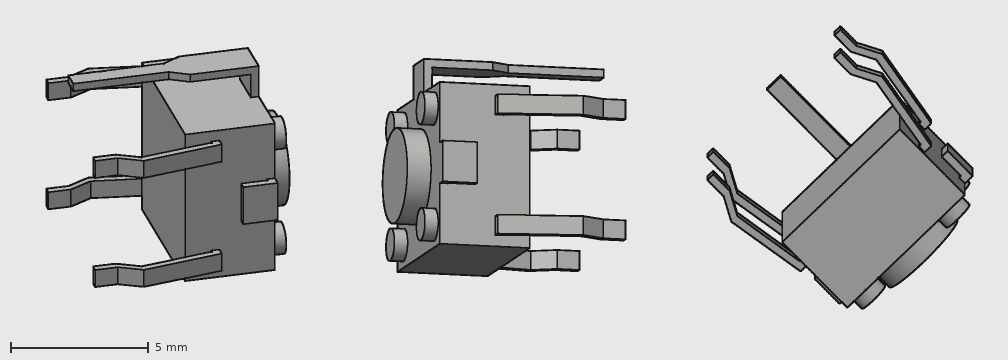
import cadquery as cq

overall_width = 7.7
body_side = 6.0
body_depth = 3.4
button_diameter = 3.5
button_height = 0.9
peg_diameter = 1.2
peg_height = 0.5
peg_offset = 2.15

strip_thickness = 0.305
lead_reach = 6.9
lead_width = 0.7
tab_width = 1.51
tab_length = 1.3
tab_outer_x = 3.39

lead_offset_z = 2.23
lead_root = 2.1
lead_shoulder_x = 3.33
lead_knee = 5.19
lead_foot = 6.05

ground_rise = 1.25
ground_taper_start = 2.6
ground_taper_end = 3.29

half_side = body_side / 2
lead_knee_x = overall_width / 2
tab_inner_x = tab_outer_x - strip_thickness
ground_top = half_side + ground_rise


def make_button():
    """Round push button standing on the housing face."""
    return cq.Workplane("XZ").circle(button_diameter / 2).extrude(-button_height)


def make_block():
    """Square housing block behind the face plane."""
    return cq.Workplane("XZ").rect(body_side, body_side).extrude(body_depth)


def make_pegs():
    """Four round pegs at the corners of the housing face."""
    spacing = 2 * peg_offset
    return (
        cq.Workplane("XZ")
        .rect(spacing, spacing, forConstruction=True)
        .vertices()
        .circle(peg_diameter / 2)
        .extrude(-peg_height)
    )


def make_side_tab():
    """L-shaped tab on the +X side, folded back from the face plane."""
    outline = [
        (half_side, 0),
        (tab_outer_x, 0),
        (tab_outer_x, -tab_length),
        (tab_inner_x, -tab_length),
        (tab_inner_x, -strip_thickness),
        (half_side, -strip_thickness),
    ]
    return cq.Workplane("XY").polyline(outline).close().extrude(tab_width / 2, both=True)


def make_lead(center_z):
    """Kinked contact lead on the +X side."""
    outline = [
        (half_side, -lead_root),
        (lead_shoulder_x, -lead_root),
        (lead_knee_x, -lead_knee),
        (tab_outer_x, -lead_foot),
        (tab_outer_x, -lead_reach),
        (tab_inner_x, -lead_reach),
        (tab_inner_x, -lead_foot),
        (lead_knee_x - strip_thickness, -lead_knee),
        (tab_inner_x, -lead_root - strip_thickness),
        (half_side, -lead_root - strip_thickness),
    ]
    lead = cq.Workplane("XY").polyline(outline).close().extrude(lead_width / 2, both=True)
    return lead.translate((0, 0, center_z))


def make_ground_strip():
    """Strip rising from the housing top, folded back and tapering to a lead."""
    wide = tab_width / 2
    narrow = lead_width / 2
    outline = [
        (-wide, 0),
        (wide, 0),
        (wide, -ground_taper_start),
        (narrow, -ground_taper_end),
        (narrow, -lead_reach),
        (-narrow, -lead_reach),
        (-narrow, -ground_taper_end),
        (-wide, -ground_taper_start),
    ]
    strip = (
        cq.Workplane("XY", origin=(0, 0, ground_top - strip_thickness))
        .polyline(outline)
        .close()
        .extrude(strip_thickness)
    )
    riser = (
        cq.Workplane("XY", origin=(0, -strip_thickness / 2, half_side))
        .rect(tab_width, strip_thickness)
        .extrude(ground_rise)
    )
    return strip.union(riser)


def make_housing():
    """Housing block with its pegs, tabs, contact leads and ground strip."""
    body = make_block().union(make_pegs()).union(make_ground_strip())
    side_parts = [make_side_tab(), make_lead(lead_offset_z), make_lead(-lead_offset_z)]
    for part in side_parts:
        body = body.union(part).union(part.mirror("YZ"))
    return body


housing = make_housing()
button = make_button()

result = cq.Compound.makeCompound([housing.val(), button.val()])